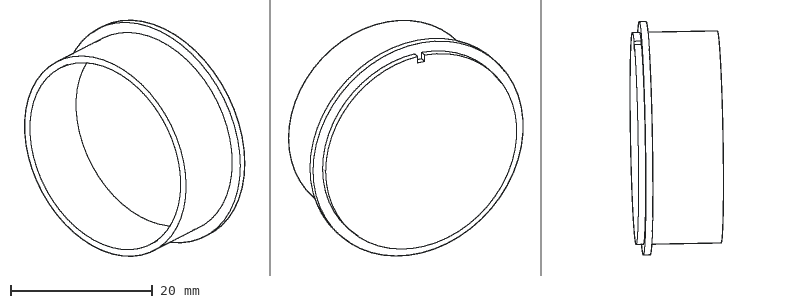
import cadquery as cq

flange_diameter = 33
body_diameter = 30.0
bore_diameter = 28.0
total_length = 12.0
flange_thickness = 1.0
back_step_height = 1.0
notch_width = 1.1

notch_depth = (body_diameter - bore_diameter) / 2
back_y = total_length / 2
front_y = -back_y
flange_back_y = back_y - back_step_height
flange_front_y = flange_back_y - flange_thickness


def disk(diameter, start_y, end_y):
    """Solid cylinder along Y between two stations."""
    plane = cq.Workplane("XZ", origin=(0, start_y, 0))
    return plane.circle(diameter / 2).extrude(start_y - end_y)


body = disk(body_diameter, front_y, back_y)
flange = disk(flange_diameter, flange_front_y, flange_back_y)

bore = disk(bore_diameter, front_y, flange_front_y)

notch = cq.Workplane("XY").box(
    notch_width, back_step_height, 2 * notch_depth
).translate((0, back_y - back_step_height / 2, body_diameter / 2))

result = body.union(flange).cut(bore).cut(notch)